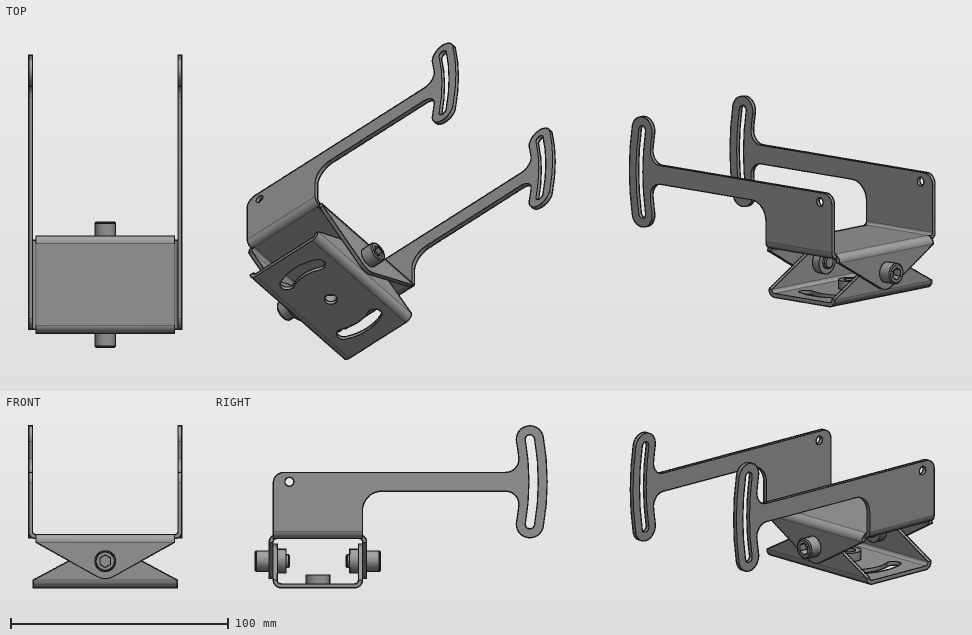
import cadquery as cq
import math

sheet = 1.9
flap_bend = 3.6
arm_bend = 3.345

pivot_height = 12.3
flap_tip_radius = 8.0
base_length = 66.5
base_width = 41.15
top_length = 64.0
top_width = base_width + 2 * sheet
top_height = 2 * pivot_height

base_slot_radius = 22.2
base_slot_width = 6.6
base_slot_half_angle = 25.0

arm_inner_x = top_length / 2 + arm_bend - sheet
arm_root_width = base_width
arm_bar_width = 8.75
arm_corner_radius = 5.0
arm_underside_radius = 9.0
arm_hole_diameter = 4.0
arm_hole_y = -13.13
arm_hole_z = 48.87
arm_slot_radius = 112.5
arm_slot_width = 4.2
arm_slot_half_angle = 10.0
arm_head_width = 3 * arm_slot_width
arm_head_fillet = 6.0

thread_diameter = 6.0
screw_length = 9.5
screw_tip_chamfer = 0.6
screw_head_diameter = 9.6
screw_head_height = 6.375
screw_head_chamfer = 0.6
hex_across_flats = 5.0
hex_depth = 4.0
nut_diameter = 11.05
nut_height = 4.08


def arc_band(plane, radius, half_angle, width, thickness):
    """Round-ended band along an arc about the plane's origin, centred on its first axis."""
    angle = math.radians(half_angle)

    def at(distance, turn):
        return (distance * math.cos(turn), distance * math.sin(turn))

    inner = radius - width / 2
    outer = radius + width / 2
    end_x, end_y = at(radius, angle)
    cap_x = end_x - width / 2 * math.sin(angle)
    cap_y = end_y + width / 2 * math.cos(angle)
    return (
        cq.Workplane(plane)
        .moveTo(*at(outer, -angle))
        .threePointArc((outer, 0), at(outer, angle))
        .threePointArc((cap_x, cap_y), at(inner, angle))
        .threePointArc((inner, 0), at(inner, -angle))
        .threePointArc((cap_x, -cap_y), at(outer, -angle))
        .close()
        .extrude(thickness)
    )


def flap_outline(length, depth):
    """Triangular flap shape, its sides tangent to a round tip centred on the pivot axis."""
    half = length / 2
    rise = pivot_height - flap_bend
    slope = math.atan2(rise, half) + math.asin(flap_tip_radius / math.hypot(half, rise))
    tangent_x = flap_tip_radius * math.sin(slope)
    tangent_z = pivot_height + flap_tip_radius * math.cos(slope)
    return (
        cq.Workplane("XZ")
        .moveTo(-half, 0)
        .lineTo(half, 0)
        .lineTo(half, flap_bend)
        .lineTo(tangent_x, tangent_z)
        .threePointArc((0, pivot_height + flap_tip_radius), (-tangent_x, tangent_z))
        .lineTo(-half, flap_bend)
        .close()
        .extrude(depth / 2, both=True)
    )


def hinge_channel(length, width):
    """Plate on Z = 0 with two flaps bent up, drilled along the pivot axis."""
    tall = pivot_height + 2 * flap_tip_radius
    outside = (
        cq.Workplane("XY")
        .box(length, width, tall, centered=(True, True, False))
        .edges("|X and <Z")
        .fillet(flap_bend)
    )
    inside = (
        cq.Workplane("XY", origin=(0, 0, sheet))
        .box(length, width - 2 * sheet, tall, centered=(True, True, False))
        .edges("|X and <Z")
        .fillet(flap_bend - sheet)
    )
    screw_holes = (
        cq.Workplane("XZ", origin=(0, 0, pivot_height))
        .circle(thread_diameter / 2)
        .extrude(width, both=True)
    )
    return outside.cut(inside).intersect(flap_outline(length, width)).cut(screw_holes)


def make_lower_bracket():
    bracket = hinge_channel(base_length, base_width)
    slot = arc_band("XY", base_slot_radius, base_slot_half_angle, base_slot_width, sheet)
    nut_hole = cq.Workplane("XY").circle(thread_diameter / 2).extrude(sheet)
    return bracket.cut(slot).cut(slot.mirror("YZ")).cut(nut_hole)


def make_arm():
    """Arm on the +X side, with the bend that joins it to the top plate."""
    half_root = arm_root_width / 2
    bar_top = arm_hole_z + arm_bar_width / 2
    bar_bottom = arm_hole_z - arm_bar_width / 2
    bend_top = top_height - sheet + arm_bend
    head_plane = cq.Plane(origin=(arm_inner_x, arm_hole_y, arm_hole_z), xDir=(0, 1, 0), normal=(1, 0, 0))

    head_inner_radius = arm_slot_radius - arm_head_width / 2
    head_joint_y = arm_hole_y + math.sqrt(head_inner_radius**2 - (arm_bar_width / 2) ** 2)
    bar_end_y = arm_hole_y + arm_slot_radius
    blade = (
        cq.Workplane("YZ", origin=(arm_inner_x, 0, 0))
        .moveTo(-half_root, bend_top)
        .lineTo(half_root, bend_top)
        .lineTo(half_root, bar_bottom)
        .lineTo(bar_end_y, bar_bottom)
        .lineTo(bar_end_y, bar_top)
        .lineTo(-half_root, bar_top)
        .close()
        .extrude(sheet)
    )
    head = arc_band(head_plane, arm_slot_radius, arm_slot_half_angle, arm_head_width, sheet)
    blade = blade.union(head)

    rounded_corners = [
        (-half_root, bar_top, arm_corner_radius),
        (half_root, bar_bottom, arm_underside_radius),
        (head_joint_y, bar_top, arm_head_fillet),
        (head_joint_y, bar_bottom, arm_head_fillet),
    ]
    for y, z, radius in rounded_corners:
        corner = cq.NearestToPointSelector((arm_inner_x + sheet / 2, y, z))
        blade = blade.edges("|X").edges(corner).fillet(radius)

    slot = arc_band(head_plane, arm_slot_radius, arm_slot_half_angle, arm_slot_width, sheet)
    hole = cq.Workplane(head_plane).circle(arm_hole_diameter / 2).extrude(sheet)

    bend_x = top_length / 2
    diagonal = math.sqrt(0.5)
    inside_radius = arm_bend - sheet
    bend = (
        cq.Workplane("XZ")
        .moveTo(bend_x, bend_top - arm_bend)
        .threePointArc(
            (bend_x + arm_bend * diagonal, bend_top - arm_bend * diagonal),
            (bend_x + arm_bend, bend_top),
        )
        .lineTo(bend_x + inside_radius, bend_top)
        .threePointArc(
            (bend_x + inside_radius * diagonal, bend_top - inside_radius * diagonal),
            (bend_x, bend_top - inside_radius),
        )
        .close()
        .extrude(half_root, both=True)
    )
    return blade.cut(slot).cut(hole).union(bend)


def make_upper_bracket():
    channel = hinge_channel(top_length, top_width).mirror("XY").translate((0, 0, top_height))
    arm = make_arm()
    return channel.union(arm).union(arm.mirror("YZ"))


def make_screw():
    """Socket head screw along Z, underside of the head on Z = 0 and the shank below it."""
    head = (
        cq.Workplane("XY")
        .circle(screw_head_diameter / 2)
        .extrude(screw_head_height)
        .faces(">Z")
        .chamfer(screw_head_chamfer)
    )
    socket = (
        cq.Workplane("XY", origin=(0, 0, screw_head_height - hex_depth))
        .polygon(6, hex_across_flats, circumscribed=True)
        .extrude(hex_depth)
    )
    shank = (
        cq.Workplane("XY")
        .circle(thread_diameter / 2)
        .extrude(-screw_length)
        .faces("<Z")
        .chamfer(screw_tip_chamfer)
    )
    return head.cut(socket).union(shank)


def make_nut():
    """Round clinch nut standing on Z = 0."""
    return cq.Workplane("XY").circle(nut_diameter / 2).circle(thread_diameter / 2).extrude(nut_height)


def on_pivot_axis(body, turn, distance):
    """Lay a body's Z axis along -Y, shift it out to a distance, then turn it about Z."""
    laid = body.rotate((0, 0, 0), (1, 0, 0), 90)
    return laid.translate((0, -distance, pivot_height)).rotate((0, 0, 0), (0, 0, 1), turn)


lower_bracket = make_lower_bracket()
upper_bracket = make_upper_bracket()
base_nut = make_nut().translate((0, 0, sheet))

nut_outer_face = base_width / 2 - sheet
screws = []
hinge_nuts = []
for side_turn in (0, 180):
    screws.append(on_pivot_axis(make_screw(), side_turn, top_width / 2))
    hinge_nuts.append(on_pivot_axis(make_nut(), side_turn, nut_outer_face - nut_height))

result = cq.Compound.makeCompound(
    [
        lower_bracket.val(),
        upper_bracket.val(),
        base_nut.val(),
        *[screw.val() for screw in screws],
        *[nut.val() for nut in hinge_nuts],
    ]
)